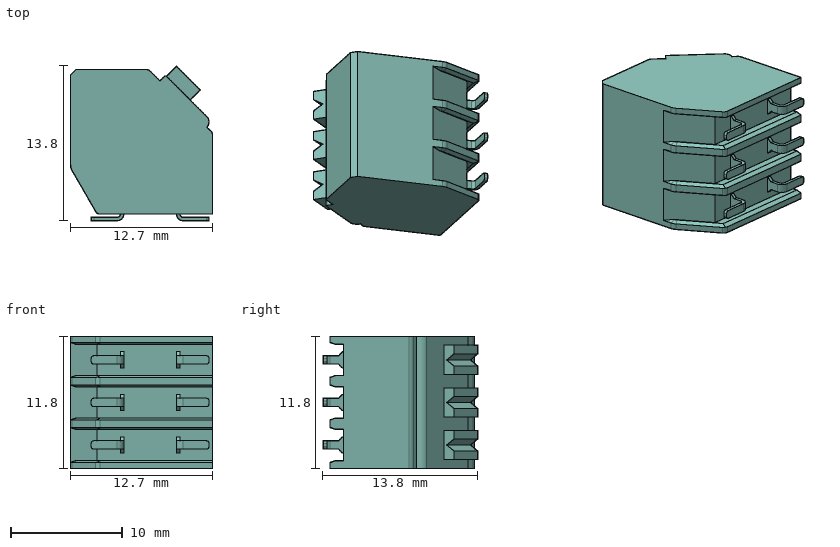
import cadquery as cq
import math

POLES = 3
PITCH = 3.8
END_ALLOWANCE = 0.21
HEIGHT = POLES * PITCH + 2 * END_ALLOWANCE
DEPTH = 13.82
WIDTH = 12.7
FRONT_TO_BACK = 12.94

SLANT = math.radians(60)
FRONT_CORNER_X = 2.38
LEFT_CORNER_Y = FRONT_CORNER_X * math.tan(SLANT)
FRONT_CORNER_RADIUS = 0.44
LEFT_CORNER_RADIUS = 0.97
BACK_CHAMFER = 0.5

BACK_EDGE_END_X = 6.97
BACK_NOTCH_DEPTH = 1.02
FACE_START_RISE = 0.5
NOSE_START_X = 12.27
NOSE_TIP = (12.38, 8.28)
NOSE_END = (12.19, 7.75)
RIGHT_EDGE_END_Y = 7.31
OBTUSE_CORNER_RADIUS = 0.5
FACE_CORNER_RADIUS = 0.11

FLOOR_Y = 1.2
WALL_START_Y = 5.29
CHANNEL_WIDTH = 2.78
BEVEL_RISE = 0.17
BEVEL_INSET = 0.5

LEVER_WIDTH = 3.01
LEVER_HEIGHT = 2.63
LEVER_REACH = 1.27
LEVER_TOP_Y = 13.23
LEVER_EMBED = 0.14
GROOVE_WIDTH = 1.08
GROOVE_ANGLE = 60

LEAD_THICKNESS = 0.32
LEAD_WIDTH = 0.76
LEAD_ROOT_WIDTH = 1.46
LEAD_SHOULDER_Y = 1.12
LEAD_LENGTH = 2.92
LEAD_DROP = DEPTH - LEVER_TOP_Y
LEAD_TIP_RADIUS = 0.25
LEFT_LEAD_X = 4.77
RIGHT_LEAD_X = 9.47

LEAD_EMBED = 0.14

OVERSIZE = 2.76

pole_heights = [HEIGHT / 2 + (i - (POLES - 1) / 2) * PITCH for i in range(POLES)]

notch = (BACK_EDGE_END_X + BACK_NOTCH_DEPTH, FRONT_TO_BACK - BACK_NOTCH_DEPTH)
face_start = (notch[0] + FACE_START_RISE, notch[1] + FACE_START_RISE)
nose_start = (NOSE_START_X, sum(face_start) - NOSE_START_X)


def round_corner(solid, x, y, radius):
    """Round the vertical edge of the outline nearest to (x, y)."""
    edge = cq.selectors.NearestToPointSelector((x, y, HEIGHT / 2))
    return solid.edges(edge).fillet(radius)


def make_outline_block():
    block = (
        cq.Workplane("XY")
        .moveTo(FRONT_CORNER_X, 0)
        .lineTo(WIDTH, 0)
        .lineTo(WIDTH, RIGHT_EDGE_END_Y)
        .lineTo(*NOSE_END)
        .threePointArc(NOSE_TIP, nose_start)
        .lineTo(*face_start)
        .lineTo(*notch)
        .lineTo(BACK_EDGE_END_X, FRONT_TO_BACK)
        .lineTo(BACK_CHAMFER, FRONT_TO_BACK)
        .lineTo(0, FRONT_TO_BACK - BACK_CHAMFER)
        .lineTo(0, LEFT_CORNER_Y)
        .close()
        .extrude(HEIGHT)
    )
    block = round_corner(block, FRONT_CORNER_X, 0, FRONT_CORNER_RADIUS)
    block = round_corner(block, 0, LEFT_CORNER_Y, LEFT_CORNER_RADIUS)
    block = round_corner(block, BACK_EDGE_END_X, FRONT_TO_BACK, OBTUSE_CORNER_RADIUS)
    block = round_corner(block, WIDTH, RIGHT_EDGE_END_Y, OBTUSE_CORNER_RADIUS)
    return round_corner(block, *face_start, FACE_CORNER_RADIUS)


def draw_plate_section(plane, inset):
    """Front and left rims of the housing moved inwards by `inset`; the other sides lie outside it."""
    far_x = WIDTH + OVERSIZE
    far_y = FRONT_TO_BACK + OVERSIZE
    left_half_turn = (math.pi / 2 - SLANT) / 2
    front_x = FRONT_CORNER_X + inset * math.tan(SLANT / 2)
    left_y = LEFT_CORNER_Y + inset * math.tan(left_half_turn)
    radius = LEFT_CORNER_RADIUS - inset
    tangent = radius * math.tan(left_half_turn)
    return (
        plane.moveTo(front_x, inset)
        .lineTo(far_x, inset)
        .lineTo(far_x, far_y)
        .lineTo(inset, far_y)
        .lineTo(inset, left_y + tangent)
        .radiusArc((inset + tangent * math.cos(SLANT), left_y - tangent * math.sin(SLANT)), -radius)
        .close()
    )


def make_bevelled_plate(base_z, direction):
    """Plate that narrows along Z, so its front and left rims lean inwards."""
    base = draw_plate_section(cq.Workplane("XY", origin=(0, 0, base_z)), 0)
    return draw_plate_section(base.workplane(offset=direction * BEVEL_RISE), BEVEL_INSET).loft(ruled=True)


def make_channel(center_z):
    """Space in front of the floor and the slanted wall, wider at its rim than at its floor."""
    far_x = WIDTH + OVERSIZE
    mouth_width = CHANNEL_WIDTH + 2 * BEVEL_RISE
    bottom = center_z - mouth_width / 2
    top = center_z + mouth_width / 2
    wall_end_x = (WALL_START_Y - FLOOR_Y) / math.tan(SLANT)
    space = (
        cq.Workplane("XY", origin=(0, 0, bottom))
        .polyline([
            (0, WALL_START_Y),
            (wall_end_x, FLOOR_Y),
            (far_x, FLOOR_Y),
            (far_x, -OVERSIZE),
            (-OVERSIZE, -OVERSIZE),
            (-OVERSIZE, WALL_START_Y),
        ])
        .close()
        .extrude(mouth_width)
    )
    return space.cut(make_bevelled_plate(bottom, 1)).cut(make_bevelled_plate(top, -1))


def make_lever(center_z):
    """Block on the 45 degree face with a V groove along its outer side."""
    top_corner_x = sum(face_start) + LEVER_REACH * math.sqrt(2) - LEVER_TOP_Y
    plane = cq.Plane(origin=(top_corner_x, LEVER_TOP_Y, center_z), xDir=(1, 1, 0), normal=(1, -1, 0))
    root = LEVER_REACH + LEVER_EMBED
    groove_depth = GROOVE_WIDTH / 2 / math.tan(math.radians(GROOVE_ANGLE / 2))
    return (
        cq.Workplane(plane)
        .polyline([
            (-root, -LEVER_HEIGHT / 2),
            (0, -LEVER_HEIGHT / 2),
            (0, -GROOVE_WIDTH / 2),
            (-groove_depth, 0),
            (0, GROOVE_WIDTH / 2),
            (0, LEVER_HEIGHT / 2),
            (-root, LEVER_HEIGHT / 2),
        ])
        .close()
        .extrude(LEVER_WIDTH)
    )


def make_lead(back_x, direction):
    """Bent solder lead: a strip leaving the floor and a foot pointing along `direction` in X."""
    inner_x = back_x + direction * LEAD_THICKNESS
    foot_top_y = LEAD_THICKNESS - LEAD_DROP
    tip_x = back_x + direction * LEAD_LENGTH
    side = (
        cq.Workplane("XY")
        .moveTo(back_x, FLOOR_Y + LEAD_EMBED)
        .lineTo(back_x, 0)
        .radiusArc((back_x + direction * LEAD_DROP, -LEAD_DROP), -direction * LEAD_DROP)
        .lineTo(tip_x, -LEAD_DROP)
        .lineTo(tip_x, foot_top_y)
        .lineTo(back_x + direction * LEAD_DROP, foot_top_y)
        .radiusArc((inner_x, 0), direction * (LEAD_DROP - LEAD_THICKNESS))
        .lineTo(inner_x, FLOOR_Y + LEAD_EMBED)
        .close()
        .extrude(LEAD_WIDTH / 2, both=True)
    )
    foot_end = ">X" if direction > 0 else "<X"
    strip = side.faces(foot_end).edges("|Y").fillet(LEAD_TIP_RADIUS)
    flare = (LEAD_ROOT_WIDTH - LEAD_WIDTH) / 2
    root = (
        cq.Workplane("YZ", origin=(back_x, 0, 0))
        .polyline([
            (FLOOR_Y + LEAD_EMBED, -LEAD_ROOT_WIDTH / 2),
            (FLOOR_Y + LEAD_EMBED, LEAD_ROOT_WIDTH / 2),
            (LEAD_SHOULDER_Y, LEAD_ROOT_WIDTH / 2),
            (LEAD_SHOULDER_Y - flare, LEAD_WIDTH / 2),
            (LEAD_SHOULDER_Y - flare, -LEAD_WIDTH / 2),
            (LEAD_SHOULDER_Y, -LEAD_ROOT_WIDTH / 2),
        ])
        .close()
        .extrude(direction * LEAD_THICKNESS)
    )
    return strip.union(root)


left_lead = make_lead(LEFT_LEAD_X, -1)
right_lead = make_lead(RIGHT_LEAD_X, 1)

result = make_outline_block()
for center_z in pole_heights:
    result = result.cut(make_channel(center_z))
    result = result.union(make_lever(center_z))
    for lead in (left_lead, right_lead):
        result = result.union(lead.translate((0, 0, center_z)))